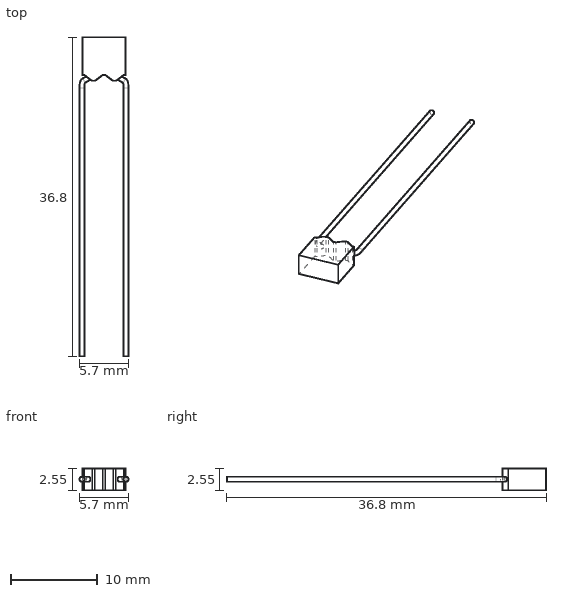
import cadquery as cq
import math

total_length = 36.83
back_y = total_length / 2
housing_width = 5.0
housing_length = 5.05
housing_height = 2.55

crest_height = 0.65
crest_spacing = 2.43
flat_half_width = 0.165
crest_x = crest_spacing / 2
crest_y = back_y - housing_length
valley_y = crest_y + crest_height
shoulder_x = crest_spacing - flat_half_width

lead_diameter = 0.6
lead_pitch = 5.1
lead_end_y = -total_length / 2
bend_angle = math.radians(60)
bend_inset = 0.22
bend_start_y = back_y - 5.82
bend_end_y = back_y - 5.0
tail_length = 1.1


def make_housing():
    """Block with a zigzag front edge, symmetric about X = 0."""
    half_width = housing_width / 2
    right_side = [
        (flat_half_width, valley_y),
        (crest_x - flat_half_width, crest_y),
        (crest_x + flat_half_width, crest_y),
        (shoulder_x, valley_y),
        (half_width, valley_y),
        (half_width, back_y),
    ]
    left_side = [(-x, y) for x, y in reversed(right_side)]
    outline = cq.Workplane("XY").polyline(right_side + left_side).close()
    return outline.extrude(housing_height / 2, both=True)


def make_lead(side, housing):
    """Lead on the given side (-1 or +1): straight run, smooth curved bend, and tail ending on the flank."""
    lead_x = side * lead_pitch / 2

    bend_end_x = lead_x - side * bend_inset
    inward = (-side * math.sin(bend_angle), math.cos(bend_angle))
    path = (
        cq.Workplane("XY")
        .moveTo(lead_x, lead_end_y)
        .lineTo(lead_x, bend_start_y)
        .spline([(bend_end_x, bend_end_y)], tangents=[(0, 1), inward], includeCurrent=True)
        .lineTo(bend_end_x + tail_length * inward[0], bend_end_y + tail_length * inward[1])
    )
    wire_section = cq.Workplane("XZ", origin=(lead_x, lead_end_y, 0)).circle(lead_diameter / 2)
    return wire_section.sweep(path).cut(housing).solids()


housing = make_housing()
leads = [make_lead(side, housing) for side in (-1, 1)]

result = cq.Compound.makeCompound([housing.val(), *[lead.val() for lead in leads]])